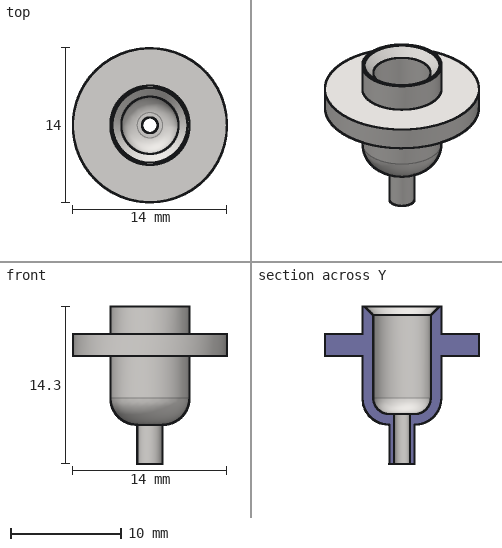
import cadquery as cq
import math

total_height = 14.3
flange_radius = 14.0 / 2
flange_thickness = 2.0
collar_height = 2.5
cup_height = 10.75
cup_radius = 7.2 / 2
bore_radius = 5.2 / 2
stem_radius = 2.3 / 2
hole_radius = 1.4 / 2
rim_land = 0.2

wall = cup_radius - bore_radius
chamfer = wall - rim_land
outer_round = cup_radius - stem_radius
inner_round = outer_round - wall

rim_z = total_height
flange_top_z = rim_z - collar_height
flange_bottom_z = flange_top_z - flange_thickness
cup_bottom_z = rim_z - cup_height
cavity_floor_z = cup_bottom_z + wall
round_center_z = cup_bottom_z + outer_round


def round_midpoint(radius):
    """Middle point of a quarter-circle bottom round, in the (r, z) half plane."""
    offset = radius * math.sqrt(0.5)
    return (stem_radius + offset, round_center_z - offset)


def half_section():
    """Closed half section of the part: up the outside, then down the inside."""
    return (
        cq.Workplane("XZ")
        .moveTo(hole_radius, 0)
        .lineTo(stem_radius, 0)
        .lineTo(stem_radius, cup_bottom_z)
        .threePointArc(round_midpoint(outer_round), (cup_radius, round_center_z))
        .lineTo(cup_radius, flange_bottom_z)
        .lineTo(flange_radius, flange_bottom_z)
        .lineTo(flange_radius, flange_top_z)
        .lineTo(cup_radius, flange_top_z)
        .lineTo(cup_radius, rim_z)
        .lineTo(cup_radius - rim_land, rim_z)
        .lineTo(bore_radius, rim_z - chamfer)
        .lineTo(bore_radius, round_center_z)
        .threePointArc(round_midpoint(inner_round), (stem_radius, cavity_floor_z))
        .lineTo(hole_radius, cavity_floor_z)
        .close()
    )


result = half_section().revolve(360, (0, 0, 0), (0, 1, 0))